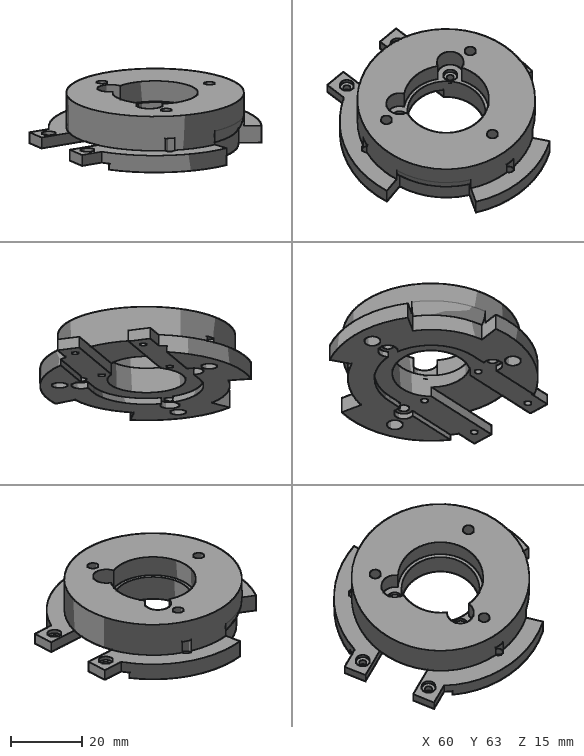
import cadquery as cq
import math

total_height = 15.0
flange_height = 5.0
bore_depth = 6.0
recess_height = 1.75
pin_top = 8.5
pin_head_top = 4.05
relief_height = 9.0
ledge_z = total_height - bore_depth

flange_radius = 30.0
hub_radius = 50.0 / 2
bore_radius = 24.0 / 2
through_radius = 22.0 / 2
recess_radius = 16.0

lug_end_y = flange_radius - 63.0
lug_outer_x = 14.0
lug_inner_x = 7.45

gap_start = 10.0
gap_end = 60.0
gap_radius = 23.5
relief_arc_radius = 6.0

small_screw_x = 10.3
small_screw_inner_y = -8.3
small_screw_outer_y = -28.9
small_screw_diameter = 2.0
small_head_diameter = 4.0
small_head_depth = 1.15
pocket_diameter = 7.5

large_screw_points = [(0, 18.0), (-17.0, -7.0), (17.0, -7.0)]
large_screw_diameter = 3.1
large_head_diameter = 5.5

pin_diameter = 2.9
pin_head_diameter = 4.5
pin_circle_radius = 24.45
pin_angles = [90.0, 202.5, 337.5]

overshoot = 0.6


def cylinders(points, diameter, z_bottom, z_top):
    """Upright cylinders of one diameter between two heights."""
    plane = cq.Workplane("XY").workplane(offset=z_bottom)
    return plane.pushPoints(points).circle(diameter / 2).extrude(z_top - z_bottom)


def box_between(x_min, x_max, y_min, y_max, z_min, z_max):
    """Box given by its limits along X, Y and Z."""
    size = (x_max - x_min, y_max - y_min, z_max - z_min)
    return cq.Workplane("XY").box(*size, centered=False).translate((x_min, y_min, z_min))


def flange_gap():
    """Cutter for one flange gap, with the rounded relief under the hub rim above it."""
    outer = flange_radius + overshoot
    arc_center_r = hub_radius - relief_arc_radius

    def arc_point(r):
        return (r, relief_height - math.sqrt(relief_arc_radius**2 - (r - arc_center_r) ** 2))

    profile = (
        cq.Workplane("XZ")
        .moveTo(gap_radius, -overshoot)
        .lineTo(*arc_point(gap_radius))
        .threePointArc(arc_point((gap_radius + hub_radius) / 2), (hub_radius, relief_height))
        .lineTo(outer, relief_height)
        .lineTo(outer, -overshoot)
        .close()
    )
    return profile.revolve(gap_end - gap_start, (0, 0, 0), (0, 1, 0))


def body():
    """Hub on a wide flange, with two rectangular lugs."""
    flange = cq.Workplane("XY").circle(flange_radius).extrude(flange_height)
    hub = cq.Workplane("XY").circle(hub_radius).extrude(total_height)
    solid = flange.union(hub)
    for x_min, x_max in [(-lug_outer_x, -lug_inner_x), (lug_inner_x, lug_outer_x)]:
        solid = solid.union(box_between(x_min, x_max, lug_end_y, -hub_radius / 2, 0, flange_height))
    return solid


def cut_flange_gaps(solid):
    """Split the flange with two mirrored gaps, leaving three sectors."""
    gap = flange_gap().rotate((0, 0, 0), (0, 0, 1), gap_start)
    return solid.cut(gap).cut(gap.mirror("YZ"))


def cut_underside(solid):
    """Slot between the lugs and a shallow U-shaped recess, both open towards -Y."""
    open_y = lug_end_y - overshoot
    slot = box_between(-lug_inner_x, lug_inner_x, open_y, 0, -overshoot, flange_height)
    recess_end = cylinders([(0, 0)], 2 * recess_radius, -overshoot, recess_height)
    recess_run = box_between(-recess_radius, recess_radius, open_y, 0, -overshoot, recess_height)
    return solid.cut(slot).cut(recess_end).cut(recess_run)


def cut_bore(solid):
    """Stepped central bore with a round screw pocket on each side, level with the ledge."""
    top = total_height + overshoot
    pocket_points = [(-small_screw_x, small_screw_inner_y), (small_screw_x, small_screw_inner_y)]
    solid = solid.cut(cylinders([(0, 0)], 2 * bore_radius, ledge_z, top))
    solid = solid.cut(cylinders([(0, 0)], 2 * through_radius, -overshoot, top))
    return solid.cut(cylinders(pocket_points, pocket_diameter, ledge_z, top))


def cut_small_screws(solid):
    """Counterbored holes in the pocket floors and in the lugs."""
    for y, seat_z in [(small_screw_inner_y, ledge_z), (small_screw_outer_y, flange_height)]:
        points = [(-small_screw_x, y), (small_screw_x, y)]
        solid = solid.cut(cylinders(points, small_screw_diameter, -overshoot, seat_z))
        solid = solid.cut(cylinders(points, small_head_diameter, seat_z - small_head_depth, seat_z))
    return solid


def cut_large_screws(solid):
    """Through holes in the hub, with head seats as deep as the underside recess."""
    top = total_height + overshoot
    solid = solid.cut(cylinders(large_screw_points, large_screw_diameter, -overshoot, top))
    return solid.cut(cylinders(large_screw_points, large_head_diameter, -overshoot, recess_height))


def cut_pin_holes(solid):
    """Blind pin holes, wider at the underside, that break out through the hub wall."""
    points = []
    for angle in pin_angles:
        a = math.radians(angle)
        points.append((pin_circle_radius * math.cos(a), pin_circle_radius * math.sin(a)))
    solid = solid.cut(cylinders(points, pin_diameter, -overshoot, pin_top))
    return solid.cut(cylinders(points, pin_head_diameter, -overshoot, pin_head_top))


part = cut_flange_gaps(body())
part = cut_underside(part)
part = cut_bore(part)
part = cut_small_screws(part)
part = cut_large_screws(part)
result = cut_pin_holes(part)